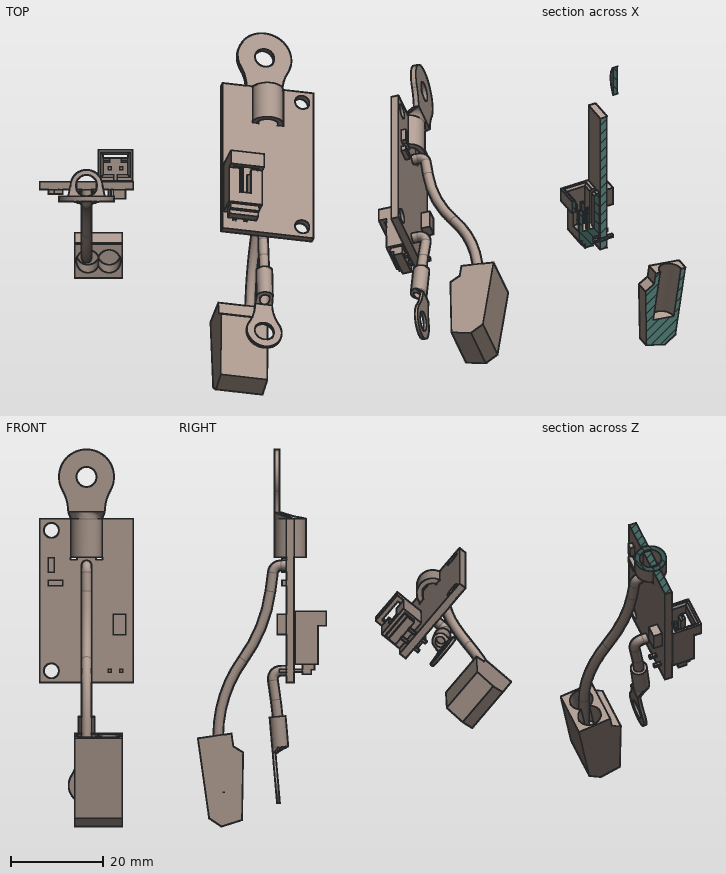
import cadquery as cq
import math


BOARD_WIDTH = 20.32
BOARD_HEIGHT = 35.56
BOARD_THICKNESS = 1.7
BOARD_MID_Y = BOARD_THICKNESS / 2
MOUNT_HOLE_DIAMETER = 3.2
MOUNT_HOLE_INSET = 2.54
CHIP_LENGTH = 3.1
CHIP_WIDTH = 1.25
CHIP_HEIGHT = 1.0
CHIP_LEFT = -8.25
UPPER_CHIP_Z = 25.5
LOWER_CHIP_Z = 21.6
DIODE_SIZE = (2.7, 2.0, 4.45)
DIODE_X = 7.15
DIODE_Z = 12.6

RING_HOLE_DIAMETER = 4.3
BIG_BARREL_RADIUS = 3.45
BIG_THICKNESS = 1.15
BIG_BARREL_LENGTH = 8.4
BIG_FLARE_LENGTH = 1.45
BIG_NECK_HALF_WIDTH = 4.0
BIG_NECK_TO_EYE = 7.6
BIG_EYE_RADIUS = 6.0
SMALL_THICKNESS = 0.68
SMALL_BARREL_LENGTH = 6.6
SMALL_FLARE_LENGTH = 1.4
SMALL_NECK_HALF_WIDTH = 1.9
SMALL_NECK_TO_EYE = 6.85
SMALL_EYE_RADIUS = 3.9

TONGUE_HALF_WIDTH = 2.1
SLOT_CLEARANCE_BELOW = 0.5

WIRE_DIAMETER = 2.2
WIRE_RADIUS = WIRE_DIAMETER / 2
WIRE_STUB = 1.2
WIRE_BEND_RADIUS = 1.75
UPPER_WIRE_Z = 25.4
UPPER_WIRE_LEAN = 7.6
UPPER_WIRE_STRAIGHT = 4.1
UPPER_WIRE_MAX_LEAN = 36.0
UPPER_WIRE_FIRST_RADIUS = 32.5
UPPER_WIRE_SECOND_RADIUS = 28.3
LOWER_WIRE_Z = 2.54
LOWER_WIRE_LEAN = -8.0
LOWER_WIRE_STRAIGHT = 4.3
LOWER_WIRE_EASE_RADIUS = 71.0
TERMINAL_LEAN = -5.0
WIRE_IN_BARREL = SMALL_BARREL_LENGTH / 2

PIN_SIZE = 0.64
PIN_PITCH = 2.5
PIN_PROTRUSION = 1.5
PIN_Z = 2.6
PIN_Y = 4.6
PIN_TIP_Z = 12.0
CONNECTOR_X = 6.3
CONNECTOR_WIDTH = 7.4
CONNECTOR_GAP = 0.2
CONNECTOR_FRONT = BOARD_THICKNESS + CONNECTOR_GAP
CONNECTOR_BACK = 6.9
HOOD_BACK = 8.65
CONNECTOR_BOTTOM = 3.95
CONNECTOR_TOP = 15.5
HOOD_BOTTOM = 12.3
CONNECTOR_WALL = 1.0
CONNECTOR_FRONT_WALL = 1.3
RIM_CHAMFER = 0.5
SOCKET_FLOOR = 6.5
KEY_SLOT_WIDTH = 0.8
WINDOW_WIDTH = 2.5
HEEL_INSET = 0.5
HEEL_FRONT = 3.45
HEEL_BACK = 6.15
HEEL_STEP_BACK = 5.4
HEEL_STEP_Z = 2.75
HEEL_BOTTOM = 1.75

BLOCK_LEAN = 8.0
BLOCK_X = 2.6
BLOCK_WIDTH = 10.4
BLOCK_DEPTH = 7.42
BLOCK_TOP_BACK = (-11.89, -11.05)
BLOCK_NOTCH_DEPTH = 2.82
BLOCK_SHOULDER = (-1.94, 4.41)
BLOCK_HEEL = (0.35, 18.94)
BLOCK_TIP = (5.0, 19.72)
BLOCK_FRONT_LENGTH = 17.55
BLOCK_BORE_RADIUS = 2.5
BLOCK_BORE_DEPTH = 12.4
BLOCK_BORE_PITCH = 4.6


def box(x_range, y_range, z_range):
    """Axis-aligned box between the given limits."""
    size = [high - low for low, high in (x_range, y_range, z_range)]
    corner = (x_range[0], y_range[0], z_range[0])
    return cq.Workplane("XY").box(*size, centered=False).translate(corner)


def around(middle, size):
    """Limits of a span of the given size around its middle."""
    return (middle - size / 2, middle + size / 2)


def make_board():
    through = (0, BOARD_THICKNESS)
    board = box(around(0, BOARD_WIDTH), through, (0, BOARD_HEIGHT))

    hole_x = -BOARD_WIDTH / 2 + MOUNT_HOLE_INSET
    for hole_z in (MOUNT_HOLE_INSET, BOARD_HEIGHT - MOUNT_HOLE_INSET):
        hole = cq.Workplane("XZ").center(hole_x, hole_z).circle(MOUNT_HOLE_DIAMETER / 2)
        board = board.cut(hole.extrude(-BOARD_THICKNESS))

    slot_bottom = BOARD_HEIGHT - BIG_BARREL_LENGTH - SLOT_CLEARANCE_BELOW
    slot = box((TONGUE_HALF_WIDTH, BIG_BARREL_RADIUS), through, (slot_bottom, BOARD_HEIGHT))
    board = board.cut(slot).cut(slot.mirror("YZ"))

    for pin_x in pin_positions():
        board = board.cut(box(around(pin_x, PIN_SIZE), through, around(PIN_Z, PIN_SIZE)))

    on_front = (-CHIP_HEIGHT, 0)
    upright_chip = box((CHIP_LEFT, CHIP_LEFT + CHIP_WIDTH), on_front, around(UPPER_CHIP_Z, CHIP_LENGTH))
    flat_chip = box((CHIP_LEFT, CHIP_LEFT + CHIP_LENGTH), on_front, around(LOWER_CHIP_Z, CHIP_WIDTH))
    diode_width, diode_depth, diode_length = DIODE_SIZE
    diode = box(around(DIODE_X, diode_width), (-diode_depth, 0), around(DIODE_Z, diode_length))
    return board.union(upright_chip).union(flat_chip).union(diode)


def make_terminal(barrel_radius, thickness, barrel_length, flare_length, neck, neck_to_eye, eye_radius):
    """Terminal with its barrel mouth at the origin, pointing up +Z, with its tongue on the -Y side."""
    flare_top = barrel_length + flare_length
    tongue_y = -barrel_radius + thickness / 2

    barrel = cq.Workplane("XY").circle(barrel_radius).extrude(barrel_length)
    flare = (
        cq.Workplane("XY", origin=(0, 0, barrel_length))
        .circle(barrel_radius)
        .workplane(offset=flare_length)
        .center(0, tongue_y)
        .rect(2 * neck, thickness)
        .loft(combine=True)
    )
    bore = cq.Workplane("XY").circle(barrel_radius - thickness).extrude(flare_top)

    side_radius = (neck**2 + neck_to_eye**2 - eye_radius**2) / (2 * (eye_radius - neck))
    eye_z = flare_top + neck_to_eye
    side_center_x = neck + side_radius
    meet = eye_radius / (eye_radius + side_radius)
    meet_x = side_center_x * meet
    meet_z = eye_z - neck_to_eye * meet
    half_sweep = math.asin(neck_to_eye / (eye_radius + side_radius)) / 2
    mid_x = side_center_x - side_radius * math.cos(half_sweep)
    mid_z = flare_top + side_radius * math.sin(half_sweep)
    tongue = (
        cq.Workplane("XZ", origin=(0, -barrel_radius, 0))
        .moveTo(-neck, flare_top)
        .lineTo(neck, flare_top)
        .threePointArc((mid_x, mid_z), (meet_x, meet_z))
        .threePointArc((0, eye_z + eye_radius), (-meet_x, meet_z))
        .threePointArc((-mid_x, mid_z), (-neck, flare_top))
        .close()
        .moveTo(0, eye_z)
        .circle(RING_HOLE_DIAMETER / 2)
        .extrude(-thickness)
    )
    return barrel.union(flare).cut(bore).union(tongue)


def make_big_terminal():
    terminal = make_terminal(
        BIG_BARREL_RADIUS,
        BIG_THICKNESS,
        BIG_BARREL_LENGTH,
        BIG_FLARE_LENGTH,
        BIG_NECK_HALF_WIDTH,
        BIG_NECK_TO_EYE,
        BIG_EYE_RADIUS,
    )
    return terminal.translate((0, BOARD_MID_Y, BOARD_HEIGHT - BIG_BARREL_LENGTH))


def make_small_terminal(mouth):
    """Small terminal hanging eye down from the mouth point (y, z), leaning with the wire in it."""
    terminal = make_terminal(
        WIRE_RADIUS + SMALL_THICKNESS,
        SMALL_THICKNESS,
        SMALL_BARREL_LENGTH,
        SMALL_FLARE_LENGTH,
        SMALL_NECK_HALF_WIDTH,
        SMALL_NECK_TO_EYE,
        SMALL_EYE_RADIUS,
    )
    hanging = terminal.rotate((0, 0, 0), (0, 1, 0), 180)
    leaning = hanging.rotate((0, 0, 0), (1, 0, 0), -TERMINAL_LEAN)
    return leaning.translate((0, *mouth))


def step(point, heading, length):
    """Point (y, z) reached by going straight along a heading."""
    angle = math.radians(heading)
    return (point[0] - length * math.sin(angle), point[1] - length * math.cos(angle))


def bend(point, heading, new_heading, radius):
    """Middle and end points of an arc that turns from one heading to another."""
    turn = new_heading - heading
    ends = []
    for part in (turn / 2, turn):
        chord = 2 * radius * math.sin(math.radians(abs(part)) / 2)
        ends.append(step(point, heading + part / 2, chord))
    return ends


def sweep_wire(path, start_z):
    return cq.Workplane("XZ").center(0, start_z).circle(WIRE_RADIUS).sweep(path)


def start_wire(start_z, lean, straight):
    """Path out of the board, round the bend and down its straight part, with its end point."""
    stub_end = (-WIRE_STUB, start_z)
    bend_mid, bend_end = bend(stub_end, 90, lean, WIRE_BEND_RADIUS)
    straight_end = step(bend_end, lean, straight)
    path = (
        cq.Workplane("YZ")
        .moveTo(0, start_z)
        .lineTo(*stub_end)
        .threePointArc(bend_mid, bend_end)
        .lineTo(*straight_end)
    )
    return path, straight_end


def make_upper_wire():
    path, start = start_wire(UPPER_WIRE_Z, UPPER_WIRE_LEAN, UPPER_WIRE_STRAIGHT)
    out_mid, out_end = bend(start, UPPER_WIRE_LEAN, UPPER_WIRE_MAX_LEAN, UPPER_WIRE_FIRST_RADIUS)
    back_mid, back_end = bend(out_end, UPPER_WIRE_MAX_LEAN, 0, UPPER_WIRE_SECOND_RADIUS)

    floor_y, floor_z = block_point(0, BLOCK_BORE_DEPTH)
    back_edge_y = back_end[0] + WIRE_RADIUS
    end_z = floor_z + (back_edge_y - floor_y) * math.tan(math.radians(BLOCK_LEAN))
    path = (
        path.threePointArc(out_mid, out_end)
        .threePointArc(back_mid, back_end)
        .lineTo(back_end[0], end_z)
    )
    return sweep_wire(path, UPPER_WIRE_Z)


def make_lower_wire():
    """Lower wire, with the point where it enters the mouth of the small terminal."""
    path, start = start_wire(LOWER_WIRE_Z, LOWER_WIRE_LEAN, LOWER_WIRE_STRAIGHT)
    ease_mid, mouth = bend(start, LOWER_WIRE_LEAN, TERMINAL_LEAN, LOWER_WIRE_EASE_RADIUS)
    path = path.threePointArc(ease_mid, mouth).lineTo(*step(mouth, TERMINAL_LEAN, WIRE_IN_BARREL))
    return sweep_wire(path, LOWER_WIRE_Z), mouth


def pin_positions():
    return around(CONNECTOR_X, PIN_PITCH)


def make_connector():
    width = around(CONNECTOR_X, CONNECTOR_WIDTH)
    body = box(width, (CONNECTOR_FRONT, CONNECTOR_BACK), (CONNECTOR_BOTTOM, CONNECTOR_TOP))
    hood = box(width, (CONNECTOR_FRONT, HOOD_BACK), (HOOD_BOTTOM, CONNECTOR_TOP))
    heel_width = around(CONNECTOR_X, CONNECTOR_WIDTH - 2 * HEEL_INSET)
    heel = box(heel_width, (HEEL_FRONT, HEEL_BACK), (HEEL_STEP_Z, CONNECTOR_BOTTOM))
    heel_foot = box(heel_width, (HEEL_FRONT, HEEL_STEP_BACK), (HEEL_BOTTOM, HEEL_STEP_Z))
    connector = body.union(hood).union(heel).union(heel_foot)

    inner_x = around(CONNECTOR_X, CONNECTOR_WIDTH - 2 * CONNECTOR_WALL)
    inner_front = CONNECTOR_FRONT + CONNECTOR_FRONT_WALL
    inner_back = CONNECTOR_BACK - CONNECTOR_WALL
    hood_inner_back = HOOD_BACK - CONNECTOR_WALL
    connector = connector.cut(box(inner_x, (inner_front, inner_back), (SOCKET_FLOOR, CONNECTOR_TOP)))
    hood_opening = box(inner_x, (inner_front, hood_inner_back), (HOOD_BOTTOM, CONNECTOR_TOP))
    connector = connector.cut(hood_opening)
    connector = connector.cut(mouth_bevel(inner_x, (inner_front, hood_inner_back)))
    lip = (
        cq.Workplane("YZ", origin=(inner_x[0], 0, 0))
        .moveTo(inner_back, HOOD_BOTTOM)
        .lineTo(inner_back + RIM_CHAMFER, HOOD_BOTTOM)
        .lineTo(inner_back, HOOD_BOTTOM - RIM_CHAMFER)
        .close()
        .extrude(inner_x[1] - inner_x[0])
    )
    connector = connector.cut(lip)

    tall = (SOCKET_FLOOR, CONNECTOR_TOP)
    key_slot = box(around(CONNECTOR_X, KEY_SLOT_WIDTH), (CONNECTOR_FRONT, inner_front), tall)
    window = box(around(CONNECTOR_X, WINDOW_WIDTH), (inner_back, CONNECTOR_BACK), (SOCKET_FLOOR, HOOD_BOTTOM))
    connector = connector.cut(key_slot).cut(window)

    for pin_x in pin_positions():
        pin_width = around(pin_x, PIN_SIZE)
        upright = box(pin_width, around(PIN_Y, PIN_SIZE), (PIN_Z, PIN_TIP_Z))
        tail = box(pin_width, (-PIN_PROTRUSION, PIN_Y), around(PIN_Z, PIN_SIZE))
        connector = connector.union(upright).union(tail)
    return connector


def mouth_bevel(x_range, y_range):
    """Bevelled plug that opens the socket mouth by the rim chamfer on every side."""
    x_size = x_range[1] - x_range[0]
    y_size = y_range[1] - y_range[0]
    middle = (sum(x_range) / 2, sum(y_range) / 2, CONNECTOR_TOP)
    return (
        cq.Workplane("XY", origin=middle)
        .rect(x_size + 2 * RIM_CHAMFER, y_size + 2 * RIM_CHAMFER)
        .workplane(offset=-RIM_CHAMFER)
        .rect(x_size, y_size)
        .loft(combine=True)
    )


def block_point(forward, down):
    """Point (y, z) at a distance along the block's leaning top and down its leaning axis."""
    lean = math.radians(BLOCK_LEAN)
    top_y, top_z = BLOCK_TOP_BACK
    y = top_y - forward * math.cos(lean) + down * math.sin(lean)
    z = top_z - forward * math.sin(lean) - down * math.cos(lean)
    return (y, z)


def make_block():
    outline = [
        (0, 0),
        (BLOCK_DEPTH, 0),
        (BLOCK_DEPTH, BLOCK_FRONT_LENGTH),
        BLOCK_TIP,
        BLOCK_HEEL,
        BLOCK_SHOULDER,
        (0, BLOCK_NOTCH_DEPTH),
    ]
    left = BLOCK_X - BLOCK_WIDTH / 2
    profile = cq.Workplane("YZ", origin=(left, 0, 0)).polyline([block_point(*p) for p in outline])
    block = profile.close().extrude(BLOCK_WIDTH)

    lean = math.radians(BLOCK_LEAN)
    into_block = cq.Vector(0, math.sin(lean), -math.cos(lean))
    bore_y, bore_z = block_point(BLOCK_DEPTH / 2, 0)
    for bore_x in around(BLOCK_X, BLOCK_BORE_PITCH):
        mouth = cq.Vector(bore_x, bore_y, bore_z)
        bore = cq.Solid.makeCylinder(BLOCK_BORE_RADIUS, BLOCK_BORE_DEPTH, mouth, into_block)
        block = block.cut(cq.Workplane(bore))
    return block


board = make_board()
big_terminal = make_big_terminal()
upper_wire = make_upper_wire()
lower_wire, small_terminal_mouth = make_lower_wire()
small_terminal = make_small_terminal(small_terminal_mouth)
connector = make_connector()
block = make_block()

result = cq.Compound.makeCompound([
    board.val(),
    big_terminal.val(),
    upper_wire.val(),
    lower_wire.val(),
    small_terminal.val(),
    connector.val(),
    block.val(),
])